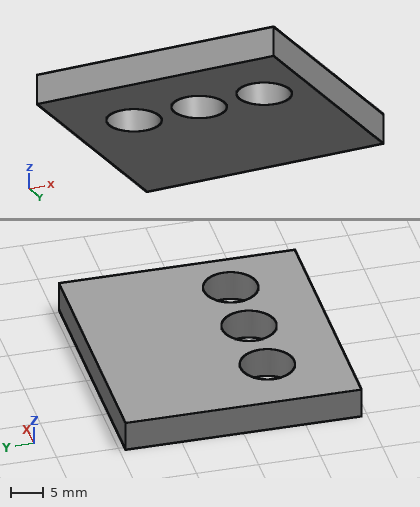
import cadquery as cq

plate_length = 41.4
plate_width = 38.1
plate_thickness = 5.0

hole_diameter = 8.65
hole_count = 3
hole_pitch = 11.4
first_hole_from_left = 10.72
hole_row_from_front = 12.4

plate = cq.Workplane("XY").box(plate_length, plate_width, plate_thickness, centered=False)

hole_centers = [
    (first_hole_from_left + index * hole_pitch, hole_row_from_front)
    for index in range(hole_count)
]
holes = (
    cq.Workplane("XY")
    .pushPoints(hole_centers)
    .circle(hole_diameter / 2)
    .extrude(plate_thickness)
)

result = plate.cut(holes)